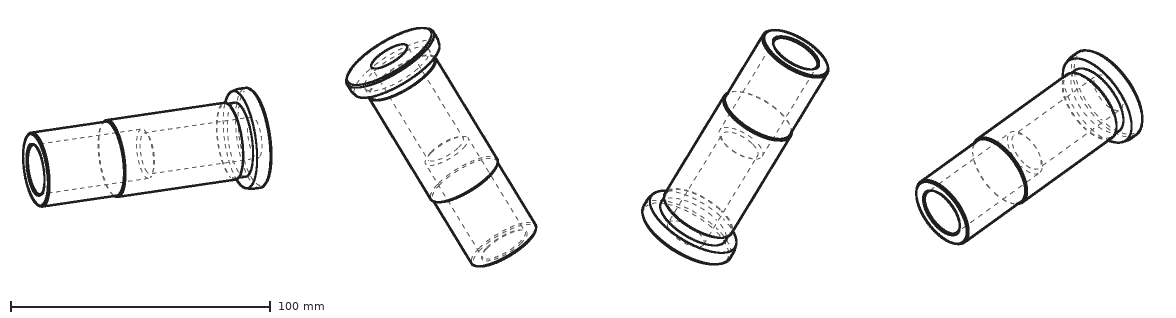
import cadquery as cq
import math

total_length = 90.0
flange_thickness = 6.0
relief_end = 10.2
seat_end = 58.5

flange_diameter = 39.0
relief_diameter = 28.9
seat_diameter = 30.0
pilot_diameter = 28.9

flange_chamfer = 0.75
pilot_chamfer = 0.55
step_chamfer_length = 0.5
flange_taper_length = 2.0
flange_taper_angle = 15.0
flange_taper_drop = flange_taper_length * math.tan(math.radians(flange_taper_angle))

narrow_diameter = 16.0
wide_diameter = 19.2
wide_depth = total_length / 2
cone_included_angle = 120.0
bore_chamfer = 0.5


def revolve_about_y(profile):
    """Revolve a closed half-section, drawn on the -X side, a full turn about the Y axis."""
    return cq.Workplane("XY").polyline(profile).close().revolve(360, (0, 0, 0), (0, 1, 0))


def outer_body():
    """Solid of revolution about Y with the flange outer face at Y = 0."""
    flange_r = flange_diameter / 2
    relief_r = relief_diameter / 2
    seat_r = seat_diameter / 2
    pilot_r = pilot_diameter / 2
    profile = [
        (0, 0),
        (-(flange_r - flange_chamfer), 0),
        (-flange_r, -flange_chamfer),
        (-flange_r, -(flange_thickness - flange_taper_length)),
        (-(flange_r - flange_taper_drop), -flange_thickness),
        (-relief_r, -flange_thickness),
        (-relief_r, -relief_end),
        (-seat_r, -relief_end),
        (-seat_r, -seat_end),
        (-pilot_r, -(seat_end + step_chamfer_length)),
        (-pilot_r, -(total_length - pilot_chamfer)),
        (-(pilot_r - pilot_chamfer), -total_length),
        (0, -total_length),
    ]
    return revolve_about_y(profile)


def bore():
    """Through bore with a wide pilot end, a conical shoulder and a chamfered mouth."""
    narrow_r = narrow_diameter / 2
    wide_r = wide_diameter / 2
    cone_length = (wide_r - narrow_r) / math.tan(math.radians(cone_included_angle / 2))
    wide_end = total_length - wide_depth
    profile = [
        (0, 0),
        (-narrow_r, 0),
        (-narrow_r, -(wide_end - cone_length)),
        (-wide_r, -wide_end),
        (-wide_r, -(total_length - bore_chamfer)),
        (-(wide_r + bore_chamfer), -total_length),
        (0, -total_length),
    ]
    return revolve_about_y(profile)


result = outer_body().cut(bore())